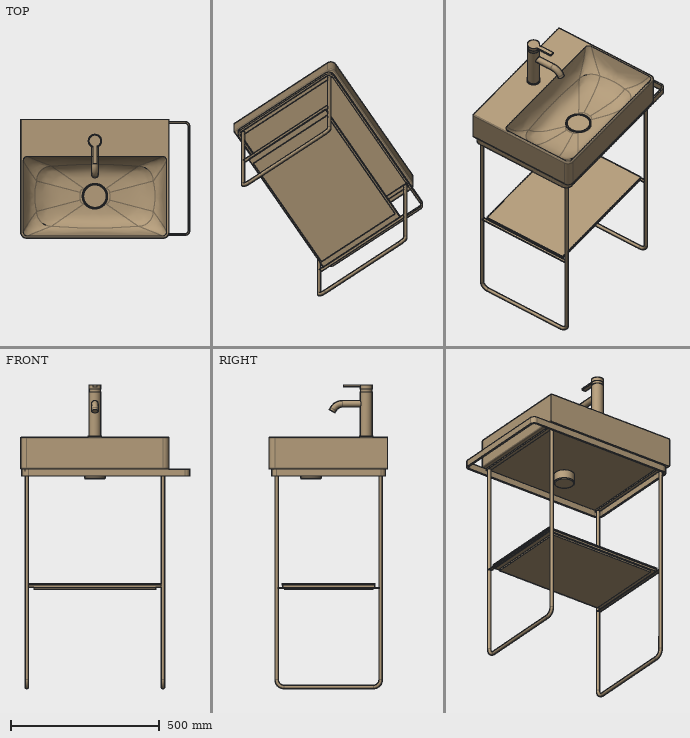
import cadquery as cq
import math

OVERALL_WIDTH = 570.0

TOTAL_HEIGHT = 1023.0
BASIN_TOP = 847.0
BASIN_BOTTOM = 739.0
RAIL_BOTTOM = 716.0
DRAIN_BOTTOM = 706.0

BASIN_WIDTH = 500.0
BASIN_DEPTH = 400.0
BASIN_CORNER_RADIUS = 20.0
BASIN_EDGE_RADIUS = 3.0

BOWL_Y = -58.0
BOWL_DROP = 95.0
RIM_HALF_WIDTH = 241.0
RIM_HALF_DEPTH = 134.0
RIM_CORNER_RADIUS = 14.0
WALL_HALF_WIDTH = 227.0
WALL_HALF_DEPTH = 123.0
WALL_CORNER_SIZE = 29.0
WALL_BULGE = 2.0
WALL_DROP = 39.0
SHOULDER_HALF_WIDTH = 202.0
SHOULDER_HALF_DEPTH = 107.0
SHOULDER_CORNER_SIZE = 50.0
SHOULDER_BULGE = 6.0
SHOULDER_DROP = 65.0
FLOOR_SCALES = (1, 0.9, 0.8, 0.65, 0.45, 0.25)
FLOOR_FLATNESS = 6
SEAT_RADIUS = 43.0
SEAT_BOTTOM = 746.0
LEAST_BULGE = 0.1

DRAIN_CAP_RADIUS = 41.0
DRAIN_CAP_HEIGHT = 6.0
DRAIN_CAP_CHAMFER = 3.0
DRAIN_TAIL_RADIUS = 35.0
DRAIN_TAIL_CHAMFER = 3.0

TAP_Y = 128.0
TAP_RADIUS = 20.0
TAP_FLANGE_RADIUS = 22.0
TAP_FLANGE_HEIGHT = 4.0
TAP_NECK_RADIUS = 19.0
TAP_NECK_BOTTOM = 999.0
TAP_HEAD_BOTTOM = 1009.0
HANDLE_TIP_Y = 51.0
HANDLE_WIDTH = 14.0
HANDLE_THICKNESS = 6.0
SPOUT_RADIUS = 11.0
SPOUT_Z = 959.0
SPOUT_BEND_START_Y = 48.0
SPOUT_BEND_RADIUS = 36.0
SPOUT_BEND_ANGLE = 60.0
AERATOR_LENGTH = 8.0

FRAME_Y = 1.5
RAIL_LEFT = -246.0
RAIL_RIGHT = OVERALL_WIDTH - BASIN_WIDTH / 2
RAIL_DEPTH = 383.0
RAIL_THICKNESS = 6.0
RAIL_CORNER_RADIUS = 16.0
RAIL_FRONT_LEFT_RADIUS = 24.0
LEG_DIAMETER = 12.0
LEG_HALF_SPACING_X = 229.0
LEG_HALF_SPACING_Y = 175.0
LEG_BEND_RADIUS = 25.0
BRACE_THICKNESS = 6.0
BEARER_Z = 340.0
BEARER_WIDTH = 10.0
BEARER_THICKNESS = 3.0

SHELF_HALF_WIDTH = 227.0
SHELF_HALF_DEPTH = 156.0
SHELF_TOP = 354.0
SHELF_PLATE_BOTTOM = 349.0
SHELF_TRAY_BOTTOM = BEARER_Z + BEARER_THICKNESS / 2
SHELF_TRAY_INSET = 1.0
SHELF_LIP_BOTTOM = 334.0
SHELF_LIP_HALF_WIDTH = 206.0
SHELF_LIP_HALF_DEPTH = 149.0


def cylinder(radius, bottom, top, y):
    """Upright cylinder between two heights, centred left to right."""
    return cq.Workplane("XY", origin=(0, y, bottom)).circle(radius).extrude(top - bottom)


def block(x_min, x_max, y_min, y_max, z_min, z_max):
    """Box given by its limits."""
    size = (x_max - x_min, y_max - y_min, z_max - z_min)
    return cq.Workplane("XY").box(*size, centered=False).translate((x_min, y_min, z_min))


def bowl_section(half_width, half_depth, corner_size, bulge, z):
    """Rounded outline of four bowed sides and four corner arcs, all sections starting alike."""
    side_x = half_width - bulge
    side_y = half_depth - bulge
    diagonal = corner_size * (1 - math.sqrt(0.5))
    side_bulge = max(bulge, LEAST_BULGE)
    outline = cq.Workplane("XY", origin=(0, BOWL_Y, z)).moveTo(side_x - corner_size, -side_y)
    for sign_x, sign_y in [(1, -1), (1, 1), (-1, 1), (-1, -1)]:
        along_front = (sign_x * (side_x - corner_size), sign_y * side_y)
        along_side = (sign_x * side_x, sign_y * (side_y - corner_size))
        middle = (sign_x * (side_x - diagonal), sign_y * (side_y - diagonal))
        if sign_x == -sign_y:
            outline = outline.threePointArc(middle, along_side)
            next_side = (along_side[0], -along_side[1])
            outline = outline.threePointArc((sign_x * (side_x + side_bulge), 0), next_side)
        else:
            outline = outline.threePointArc(middle, along_front)
            next_side = (-along_front[0], along_front[1])
            outline = outline.threePointArc((0, sign_y * (side_y + side_bulge)), next_side)
    return outline.wire().val()


def bowl_cavity():
    """Steep wall from the rim to the shoulder, then a floor that flattens out towards the drain."""
    rim = bowl_section(RIM_HALF_WIDTH, RIM_HALF_DEPTH, RIM_CORNER_RADIUS, 0, BASIN_TOP)
    wall = bowl_section(WALL_HALF_WIDTH, WALL_HALF_DEPTH, WALL_CORNER_SIZE, WALL_BULGE,
                        BASIN_TOP - WALL_DROP)
    floor_sections = []
    for scale in FLOOR_SCALES:
        rise = (BOWL_DROP - SHOULDER_DROP) * scale**FLOOR_FLATNESS
        floor_sections.append(
            bowl_section(SHOULDER_HALF_WIDTH * scale, SHOULDER_HALF_DEPTH * scale,
                         SHOULDER_CORNER_SIZE * scale, SHOULDER_BULGE * scale,
                         BASIN_TOP - BOWL_DROP + rise)
        )
    upper = cq.Solid.makeLoft([rim, wall, floor_sections[0]])
    lower = cq.Solid.makeLoft(floor_sections)
    return cq.Workplane(upper).union(cq.Workplane(lower))


def make_basin():
    half_width = BASIN_WIDTH / 2
    half_depth = BASIN_DEPTH / 2
    basin = block(-half_width, half_width, -half_depth, half_depth, BASIN_BOTTOM, BASIN_TOP)
    basin = basin.edges("|Z and <Y").fillet(BASIN_CORNER_RADIUS)
    for face in (">Z", "<Z"):
        basin = basin.faces(face).edges("not >Y").fillet(BASIN_EDGE_RADIUS)
    basin = basin.cut(bowl_cavity())
    basin = basin.cut(cylinder(SEAT_RADIUS, SEAT_BOTTOM, BASIN_TOP, y=BOWL_Y))
    return basin.cut(cylinder(DRAIN_TAIL_RADIUS, BASIN_BOTTOM, BASIN_TOP, y=BOWL_Y))


def make_drain():
    """Chamfered cap on the seat, with a tail through the basin."""
    cap = cylinder(DRAIN_CAP_RADIUS, SEAT_BOTTOM, SEAT_BOTTOM + DRAIN_CAP_HEIGHT, y=BOWL_Y)
    cap = cap.faces(">Z").chamfer(DRAIN_CAP_CHAMFER)
    tail = cylinder(DRAIN_TAIL_RADIUS, DRAIN_BOTTOM, SEAT_BOTTOM, y=BOWL_Y)
    return tail.faces("<Z").chamfer(DRAIN_TAIL_CHAMFER).union(cap)


def make_spout():
    """Straight tube out of the tap, then a downward bend ending in the aerator."""
    angle = math.radians(SPOUT_BEND_ANGLE)

    def bend_point(turn):
        y = SPOUT_BEND_START_Y - SPOUT_BEND_RADIUS * math.sin(turn)
        z = SPOUT_Z - SPOUT_BEND_RADIUS * (1 - math.cos(turn))
        return y, z

    path = (
        cq.Workplane("YZ")
        .moveTo(TAP_Y, SPOUT_Z)
        .lineTo(SPOUT_BEND_START_Y, SPOUT_Z)
        .threePointArc(bend_point(angle / 2), bend_point(angle))
    )
    tube = cq.Workplane("XZ", origin=(0, TAP_Y, SPOUT_Z)).circle(SPOUT_RADIUS).sweep(path)
    tip = cq.Vector(0, *bend_point(angle))
    direction = cq.Vector(0, -math.cos(angle), -math.sin(angle))
    aerator = cq.Solid.makeCylinder(SPOUT_RADIUS, AERATOR_LENGTH, tip, direction)
    return tube.union(cq.Workplane(aerator))


def make_tap():
    tap = cylinder(TAP_RADIUS, BASIN_TOP, TAP_NECK_BOTTOM, y=TAP_Y)
    tap = tap.union(cylinder(TAP_FLANGE_RADIUS, BASIN_TOP, BASIN_TOP + TAP_FLANGE_HEIGHT, y=TAP_Y))
    tap = tap.union(cylinder(TAP_NECK_RADIUS, TAP_NECK_BOTTOM, TAP_HEAD_BOTTOM, y=TAP_Y))
    tap = tap.union(cylinder(TAP_RADIUS, TAP_HEAD_BOTTOM, TOTAL_HEIGHT, y=TAP_Y))
    handle = block(-HANDLE_WIDTH / 2, HANDLE_WIDTH / 2, HANDLE_TIP_Y, TAP_Y,
                   TOTAL_HEIGHT - HANDLE_THICKNESS, TOTAL_HEIGHT)
    return tap.union(handle).union(make_spout())


def make_rail():
    """Flat bar bent on edge into a closed ring."""
    front = FRAME_Y - RAIL_DEPTH / 2
    back = FRAME_Y + RAIL_DEPTH / 2

    def rounded(inset):
        plate = block(RAIL_LEFT + inset, RAIL_RIGHT - inset, front + inset, back - inset,
                      RAIL_BOTTOM, BASIN_BOTTOM)
        plate = plate.edges("|Z and <X and <Y").fillet(RAIL_FRONT_LEFT_RADIUS - inset)
        return plate.edges("|Z and (>X or >Y)").fillet(RAIL_CORNER_RADIUS - inset)

    return rounded(0).cut(rounded(RAIL_THICKNESS))


def make_hoop(x):
    """Round bar bent into a U: two legs and the foot bar joining them."""
    foot_z = LEG_DIAMETER / 2
    front = FRAME_Y - LEG_HALF_SPACING_Y
    back = FRAME_Y + LEG_HALF_SPACING_Y
    top = BASIN_BOTTOM - BRACE_THICKNESS
    bend = LEG_BEND_RADIUS
    corner_cut = bend * (1 - math.sqrt(0.5))
    path = (
        cq.Workplane("YZ", origin=(x, 0, 0))
        .moveTo(front, top)
        .lineTo(front, foot_z + bend)
        .threePointArc((front + corner_cut, foot_z + corner_cut), (front + bend, foot_z))
        .lineTo(back - bend, foot_z)
        .threePointArc((back - corner_cut, foot_z + corner_cut), (back, foot_z + bend))
        .lineTo(back, top)
    )
    return cq.Workplane("XY", origin=(x, front, top)).circle(LEG_DIAMETER / 2).sweep(path)


def make_frame():
    frame = make_rail()
    brace_reach = RAIL_DEPTH / 2 - RAIL_THICKNESS / 2
    for x in (-LEG_HALF_SPACING_X, LEG_HALF_SPACING_X):
        brace = block(x - LEG_DIAMETER / 2, x + LEG_DIAMETER / 2,
                      FRAME_Y - brace_reach, FRAME_Y + brace_reach,
                      BASIN_BOTTOM - BRACE_THICKNESS, BASIN_BOTTOM)
        bearer = (
            cq.Workplane("XZ", origin=(x, FRAME_Y, BEARER_Z))
            .rect(BEARER_WIDTH, BEARER_THICKNESS)
            .extrude(LEG_HALF_SPACING_Y, both=True)
        )
        frame = frame.union(brace).union(make_hoop(x)).union(bearer)
    return frame


def make_shelf():
    """Plate on a slightly smaller tray, with a lip hanging between the bearers."""

    def layer(reach_x, reach_y, z_min, z_max):
        return block(-reach_x, reach_x, FRAME_Y - reach_y, FRAME_Y + reach_y, z_min, z_max)

    plate = layer(SHELF_HALF_WIDTH, SHELF_HALF_DEPTH, SHELF_PLATE_BOTTOM, SHELF_TOP)
    tray = layer(SHELF_HALF_WIDTH - SHELF_TRAY_INSET, SHELF_HALF_DEPTH - SHELF_TRAY_INSET,
                 SHELF_TRAY_BOTTOM, SHELF_PLATE_BOTTOM)
    lip = layer(SHELF_LIP_HALF_WIDTH, SHELF_LIP_HALF_DEPTH, SHELF_LIP_BOTTOM, SHELF_TRAY_BOTTOM)
    return plate.union(tray).union(lip)


basin = make_basin()
drain = make_drain()
tap = make_tap()
frame = make_frame()
shelf = make_shelf()

result = cq.Compound.makeCompound([basin.val(), drain.val(), tap.val(), frame.val(), shelf.val()])